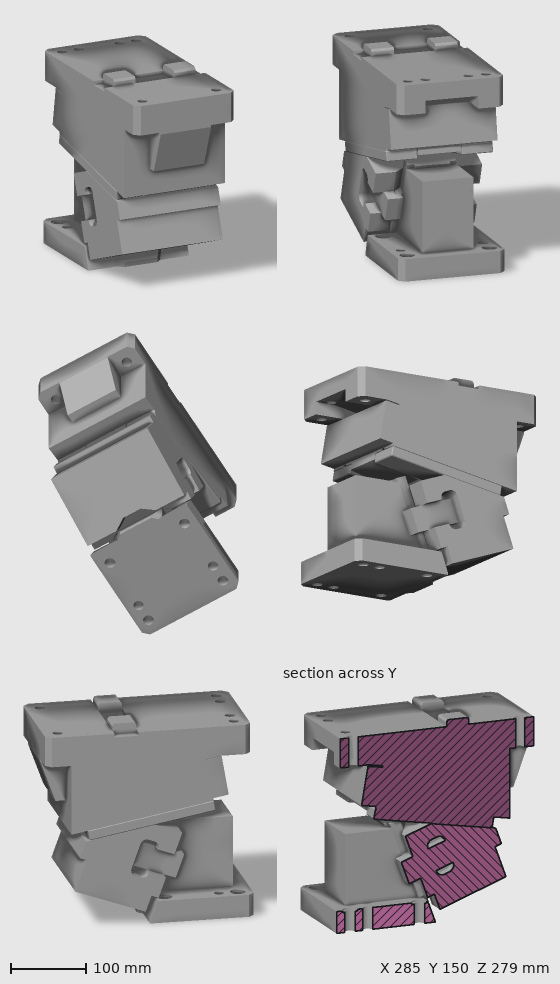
import cadquery as cq
import math

WIDTH = 150.0
HALF_WIDTH = WIDTH / 2
OVERALL_LENGTH = 285.0
CORNER = 8.0

GUIDE_ANGLE = 20.0
ROOF_ANGLE = 10.0

BASE_THICKNESS = 30.8
BASE_LENGTH = 150.0
BASE_FACE_U = 134.5
BOLT_X = 19.7
BOLT_SPACING = 100.0
BOLT_Y = 57.9
BOLT_DIAMETER = 14.2
BOLT_HEAD_DIAMETER = 20.8
BOLT_HEAD_DEPTH = 2.3
DOWEL_X = 45.3
DOWEL_DIAMETER = 13.7
POST_X = 21.7
POST_TOP = 129.7
POST_HALF_WIDTH = 36.0

GUIDE_BACK_U = 128.2
GUIDE_TONGUE_U = 123.7
GUIDE_TONGUE_HALF_WIDTH = 24.8
GUIDE_BOTTOM_V = -11.7
GUIDE_TOP_V = 97.8
GUIDE_WING_HALF_WIDTH = 45.0
GUIDE_NECK_HALF_WIDTH = 34.8
NOSE_TIP_U = 157.0
NOSE_TIP_HALF_WIDTH = 12.5
NOSE_BEVEL = 9.0
SHOULDER_U = 143.0
FOOT_CHAMFER = 10.3

SLIDER_FACE_U = 135.7
SLIDER_TOP_V = 82.6
SLIDER_BOTTOM_V = -35.0
SLIDER_NOTCH_U = 146.0
SLIDER_BACK_U = 248.0
SLIDER_LIP_U = 257.5
SLIDER_LIP_V = 10.8
GROOVE_CLEARANCE = 1.0

CLIP_START_U = 118.0
CLIP_END_U = 185.2
CLIP_BOTTOM_V = 17.7
CLIP_TOP_V = 51.5
CLIP_INNER_Y = 38.5
CLIP_OUTER_Y = 59.8
RELIEF_START_U = 160.0
RELIEF_HEIGHT = 9.5
RELIEF_RADIUS = 8.5

PLATE_X = 4.8
PLATE_BOTTOM = 228.5
PLATE_TOP = 269.5
HOLDER_START_P = 5.0
HOLDER_END_X = 250.2
HOLDER_LEDGE_Q = 177.0
HOLDER_SEAT_Q = 173.5
SLOT_FLOOR_Q = 231.7
SLOT_HEIGHT = 1.5
RECESS_TOP = 246.0
RECESS_ROOF_Q = 248.0
RECESS_HALF_WIDTH = 37.3
RECESS_END_P = 97.0
RIB_FOOT_X = 264.0
RIB_BOTTOM = 168.5
RIB_SHOULDER = 225.7
HOLE_DIAMETER = 13.7
HOLE_LEFT_X = 24.5
HOLE_RIGHT_X = 265.0
HOLE_OUTER_Y = 55.0
HOLE_INNER_Y = 30.2

RAIL_START_P = 26.2
RAIL_END_P = 200.4
RAIL_BOTTOM_Q = 159.3
RAIL_INNER_Y = 31.4
RAIL_CHAMFER = 1.0
KEEL_HALF_WIDTH = 30.2
KEEL_START_Q = 164.5
KEEL_HEEL_P = 97.2
KEEL_TOE_P = 100.5
GROOVE_Y = 48.2
GROOVE_WIDTH = 8.5
GROOVE_DEPTH = 2.5
GROOVE_LENGTH = 17.0

KEY_X = 158.5
KEY_LENGTH = 33.0
KEY_SEAT = 264.5
KEY_TOP = 279.0
KEY_INNER_Y = 28.8
KEY_WIDTH = 32.0
KEY_CHAMFER_X = 2.3
KEY_CHAMFER_Z = 3.5

SIDES = (-1, 1)


def tilted_plane(angle):
    """Plane turned about Y so that its local X rises by the angle; local Y stays Y."""
    turn = math.radians(angle)
    return cq.Plane(
        origin=(0, 0, 0),
        xDir=(math.cos(turn), 0, math.sin(turn)),
        normal=(-math.sin(turn), 0, math.cos(turn)),
    )


LEVEL = cq.Plane.XY()
GUIDE = tilted_plane(GUIDE_ANGLE)
ROOF = tilted_plane(-ROOF_ANGLE)


def block(plane, along, across, up):
    """Box between pairs of limits along the plane's own axes."""
    return (
        cq.Workplane(plane)
        .workplane(offset=up[0])
        .center((along[0] + along[1]) / 2, (across[0] + across[1]) / 2)
        .rect(along[1] - along[0], across[1] - across[0])
        .extrude(up[1] - up[0])
    )


def centred(half_width):
    return (-half_width, half_width)


def side_limits(side, inner, outer):
    return tuple(sorted((side * inner, side * outer)))


def side_profile(points, half_width):
    """Outline of (x, z) points extruded evenly to both sides of the middle."""
    return cq.Workplane("XZ").polyline(points).close().extrude(half_width, both=True)


def from_frame(plane, along, up):
    """(x, z) of a point given along a tilted plane's own axes."""
    point = plane.toWorldCoords((along, 0, up))
    return (point.x, point.z)


def vertical_holes(points, diameter, bottom, top):
    return (
        cq.Workplane("XY")
        .workplane(offset=bottom)
        .pushPoints(points)
        .circle(diameter / 2)
        .extrude(top - bottom)
    )


def vee(half_width, tip_half_width):
    """V-shaped prism between the slider face and the tip of the guide's nose."""
    return (
        cq.Workplane(GUIDE)
        .workplane(offset=SLIDER_BOTTOM_V)
        .polyline([
            (SLIDER_FACE_U, -half_width),
            (NOSE_TIP_U, -tip_half_width),
            (NOSE_TIP_U, tip_half_width),
            (SLIDER_FACE_U, half_width),
        ])
        .close()
        .extrude(GUIDE_TOP_V - SLIDER_BOTTOM_V)
    )


def base_plate():
    plate = block(LEVEL, (0, BASE_LENGTH), centred(HALF_WIDTH), (0, BASE_THICKNESS))
    plate = plate.edges("|Z").chamfer(CORNER)
    plate = plate.intersect(block(GUIDE, (-WIDTH, BASE_FACE_U), centred(HALF_WIDTH), (-WIDTH, WIDTH)))
    bolts = [(x, side * BOLT_Y) for x in (BOLT_X, BOLT_X + BOLT_SPACING) for side in SIDES]
    dowels = [(DOWEL_X, side * BOLT_Y) for side in SIDES]
    plate = plate.cut(vertical_holes(bolts, BOLT_DIAMETER, 0, BASE_THICKNESS))
    head_seat = BASE_THICKNESS - BOLT_HEAD_DEPTH
    plate = plate.cut(vertical_holes(bolts, BOLT_HEAD_DIAMETER, head_seat, BASE_THICKNESS))
    return plate.cut(vertical_holes(dowels, DOWEL_DIAMETER, 0, BASE_THICKNESS))


def post():
    column = block(LEVEL, (POST_X, BASE_LENGTH), centred(POST_HALF_WIDTH), (0, POST_TOP))
    return column.intersect(
        block(GUIDE, (0, GUIDE_BACK_U), centred(HALF_WIDTH), (-WIDTH, WIDTH))
    )


def guide_foot():
    """Foot under the guide, with chamfered corners and a sloping face."""
    foot = block(LEVEL, (POST_X, BASE_LENGTH), centred(GUIDE_NECK_HALF_WIDTH), (0, 2 * BASE_THICKNESS))
    foot = foot.edges("|Z and >X").chamfer(FOOT_CHAMFER)
    return foot.intersect(
        block(GUIDE, (0, SHOULDER_U), centred(HALF_WIDTH), (-WIDTH, WIDTH))
    )


def guide():
    height = (GUIDE_BOTTOM_V, GUIDE_TOP_V)
    wings = block(GUIDE, (GUIDE_BACK_U, SLIDER_FACE_U), centred(GUIDE_WING_HALF_WIDTH), height)
    tongue = block(
        GUIDE, (GUIDE_TONGUE_U, GUIDE_BACK_U), centred(GUIDE_TONGUE_HALF_WIDTH), height
    )
    nose = vee(GUIDE_WING_HALF_WIDTH, NOSE_TIP_HALF_WIDTH)
    nose = nose.intersect(block(GUIDE, (SLIDER_FACE_U, NOSE_TIP_U), centred(HALF_WIDTH), height))
    bevel = side_profile(
        [
            from_frame(GUIDE, NOSE_TIP_U - NOSE_BEVEL, GUIDE_TOP_V),
            from_frame(GUIDE, NOSE_TIP_U, GUIDE_TOP_V - NOSE_BEVEL),
            from_frame(GUIDE, NOSE_TIP_U, GUIDE_TOP_V),
        ],
        HALF_WIDTH,
    )
    body = wings.union(tongue).union(nose).cut(bevel)
    for side in SIDES:
        body = body.cut(block(
            GUIDE,
            (GUIDE_BACK_U, NOSE_TIP_U),
            side_limits(side, GUIDE_NECK_HALF_WIDTH, HALF_WIDTH),
            (CLIP_TOP_V, GUIDE_TOP_V),
        ))
    return body


def make_base():
    return base_plate().union(post()).union(guide_foot()).union(guide())


def slider_block():
    body = side_profile(
        [
            from_frame(GUIDE, SLIDER_FACE_U, GUIDE_BOTTOM_V),
            from_frame(GUIDE, SLIDER_FACE_U, SLIDER_TOP_V),
            from_frame(GUIDE, SLIDER_LIP_U, SLIDER_TOP_V),
            from_frame(GUIDE, SLIDER_LIP_U, SLIDER_LIP_V),
            from_frame(GUIDE, SLIDER_BACK_U, SLIDER_LIP_V),
            from_frame(GUIDE, SLIDER_BACK_U, SLIDER_BOTTOM_V),
            from_frame(GUIDE, SLIDER_NOTCH_U, SLIDER_BOTTOM_V),
            from_frame(GUIDE, SLIDER_NOTCH_U, GUIDE_BOTTOM_V),
        ],
        HALF_WIDTH,
    )
    below_roof = block(ROOF, (0, OVERALL_LENGTH), centred(HALF_WIDTH), (0, RAIL_BOTTOM_Q))
    groove = vee(
        GUIDE_WING_HALF_WIDTH + GROOVE_CLEARANCE, NOSE_TIP_HALF_WIDTH + GROOVE_CLEARANCE
    )
    return body.intersect(below_roof).cut(groove)


def clip_pocket(side):
    """Pocket for a clip, with rounded reliefs above and below the clip's inner end."""
    depth = side_limits(side, GUIDE_WING_HALF_WIDTH + GROOVE_CLEARANCE, HALF_WIDTH)
    channel = block(GUIDE, (CLIP_START_U, CLIP_END_U), depth, (CLIP_BOTTOM_V, CLIP_TOP_V))
    relief = block(
        GUIDE,
        (RELIEF_START_U, CLIP_END_U),
        depth,
        (CLIP_BOTTOM_V - RELIEF_HEIGHT, CLIP_TOP_V + RELIEF_HEIGHT),
    )
    return channel.union(relief.edges("|Y").fillet(RELIEF_RADIUS))


def clip(side):
    """Clip whose lip hooks behind the wing of the guide."""
    height = (CLIP_BOTTOM_V, CLIP_TOP_V)
    wing_side = GUIDE_WING_HALF_WIDTH + GROOVE_CLEARANCE
    arm = block(GUIDE, (CLIP_START_U, CLIP_END_U), side_limits(side, wing_side, CLIP_OUTER_Y), height)
    lip = block(GUIDE, (CLIP_START_U, GUIDE_BACK_U), side_limits(side, CLIP_INNER_Y, wing_side), height)
    return arm.union(lip)


def make_slider():
    body = slider_block()
    for side in SIDES:
        body = body.cut(clip_pocket(side)).union(clip(side))
    return body


def holder_plate():
    plate = block(
        LEVEL, (PLATE_X, OVERALL_LENGTH), centred(HALF_WIDTH), (PLATE_BOTTOM, PLATE_TOP)
    )
    return plate.edges("|Z").chamfer(CORNER)


def holder_block():
    body = block(
        ROOF,
        (HOLDER_START_P, OVERALL_LENGTH),
        centred(HALF_WIDTH),
        (HOLDER_SEAT_Q, OVERALL_LENGTH),
    )
    body = body.intersect(
        block(LEVEL, (0, HOLDER_END_X), centred(HALF_WIDTH), (0, PLATE_BOTTOM))
    )
    ledge = block(ROOF, (0, RAIL_START_P), centred(HALF_WIDTH), (HOLDER_SEAT_Q, HOLDER_LEDGE_Q))
    return body.cut(ledge)


def holder_rib():
    return side_profile(
        [
            (HOLDER_END_X, PLATE_BOTTOM),
            (OVERALL_LENGTH, PLATE_BOTTOM),
            (OVERALL_LENGTH, RIB_SHOULDER),
            (RIB_FOOT_X, RIB_BOTTOM),
            (HOLDER_END_X, RIB_BOTTOM),
        ],
        RECESS_HALF_WIDTH,
    )


def rail(side):
    across = side_limits(side, RAIL_INNER_Y, HALF_WIDTH)
    bar = block(ROOF, (RAIL_START_P, RAIL_END_P), across, (RAIL_BOTTOM_Q, HOLDER_SEAT_Q))
    return bar.edges().chamfer(RAIL_CHAMFER)


def keel():
    """Keel between the rails: slopes down to the roof, and its toe fits the corner where the
    roof runs out past the slider's upper end."""
    tilt = math.radians(GUIDE_ANGLE + ROOF_ANGLE)
    toe_q = (SLIDER_TOP_V + KEEL_TOE_P * math.sin(tilt)) / math.cos(tilt)
    roof_start_p = (RAIL_BOTTOM_Q * math.cos(tilt) - SLIDER_TOP_V) / math.sin(tilt)
    return side_profile(
        [
            from_frame(ROOF, RAIL_START_P, HOLDER_SEAT_Q),
            from_frame(ROOF, RAIL_START_P, KEEL_START_Q),
            from_frame(ROOF, KEEL_HEEL_P, RAIL_BOTTOM_Q),
            from_frame(ROOF, KEEL_TOE_P, toe_q),
            from_frame(ROOF, roof_start_p, RAIL_BOTTOM_Q),
            from_frame(ROOF, RAIL_END_P, RAIL_BOTTOM_Q),
            from_frame(ROOF, RAIL_END_P, HOLDER_SEAT_Q),
        ],
        KEEL_HALF_WIDTH,
    )


def rail_groove(side):
    across = side_limits(side, GROOVE_Y - GROOVE_WIDTH / 2, GROOVE_Y + GROOVE_WIDTH / 2)
    along = (RAIL_START_P, RAIL_START_P + GROOVE_LENGTH)
    return block(ROOF, along, across, (HOLDER_SEAT_Q, HOLDER_SEAT_Q + GROOVE_DEPTH))


def end_recess():
    """Recess in the plate's left end, open below, and the thin slot across the holder."""
    recess = block(
        ROOF, (-WIDTH, RECESS_END_P), centred(RECESS_HALF_WIDTH), (SLOT_FLOOR_Q, RECESS_ROOF_Q)
    )
    recess = recess.intersect(
        block(LEVEL, (0, HOLDER_END_X), centred(HALF_WIDTH), (0, RECESS_TOP))
    )
    mouth = block(
        ROOF, (-WIDTH, HOLDER_START_P), centred(RECESS_HALF_WIDTH), (HOLDER_SEAT_Q, SLOT_FLOOR_Q)
    )
    slot = block(
        ROOF,
        (HOLDER_START_P, RAIL_START_P),
        centred(HALF_WIDTH),
        (SLOT_FLOOR_Q, SLOT_FLOOR_Q + SLOT_HEIGHT),
    )
    below_plate = block(LEVEL, (0, HOLDER_END_X), centred(HALF_WIDTH), (0, PLATE_BOTTOM))
    return recess.union(mouth).union(slot.intersect(below_plate))


def key(side):
    """Locating key with bevelled ends."""
    start = KEY_X
    end = KEY_X + KEY_LENGTH
    outline = [
        (start, KEY_SEAT),
        (end, KEY_SEAT),
        (end, KEY_TOP - KEY_CHAMFER_Z),
        (end - KEY_CHAMFER_X, KEY_TOP),
        (start + KEY_CHAMFER_X, KEY_TOP),
        (start, KEY_TOP - KEY_CHAMFER_Z),
    ]
    centre_y = side * (KEY_INNER_Y + KEY_WIDTH / 2)
    return side_profile(outline, KEY_WIDTH / 2).translate((0, centre_y, 0))


def holder_holes():
    left = [(HOLE_LEFT_X, side * y) for y in (HOLE_INNER_Y, HOLE_OUTER_Y) for side in SIDES]
    right = [(HOLE_RIGHT_X, side * HOLE_OUTER_Y) for side in SIDES]
    return vertical_holes(left + right, HOLE_DIAMETER, PLATE_BOTTOM, PLATE_TOP)


def make_holder():
    key_slot = block(
        LEVEL, (KEY_X, KEY_X + KEY_LENGTH), centred(HALF_WIDTH), (KEY_SEAT, PLATE_TOP)
    )
    body = holder_plate().union(holder_block()).union(holder_rib()).union(keel())
    body = body.cut(end_recess()).cut(holder_holes()).cut(key_slot)
    for side in SIDES:
        body = body.cut(rail_groove(side)).union(rail(side)).union(key(side))
    return body


base = make_base()
slider = make_slider()
holder = make_holder()

result = cq.Compound.makeCompound([body.solids().val() for body in (base, slider, holder)])